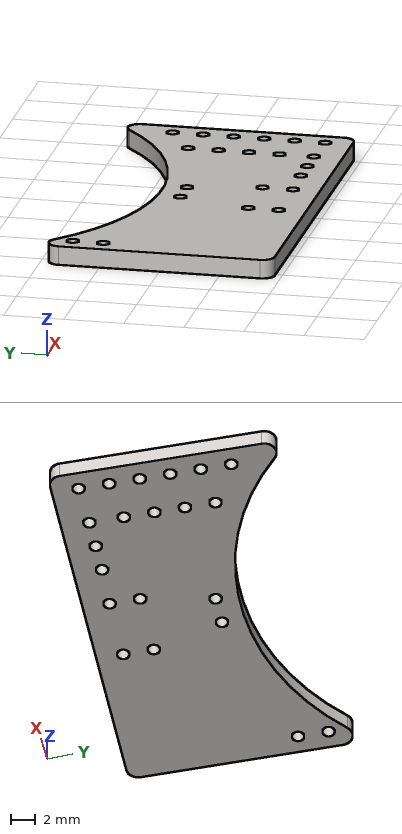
import cadquery as cq
import math

length = 32.53
width = 18.8
thickness = 1.6
corner_radius = 1.0

arc_low_y = 12.65
mid_x = length / 2
tip_center_y = width - corner_radius
arc_drop = width - arc_low_y
tip_offset = mid_x - corner_radius
center_distance = (tip_offset**2 + arc_drop**2) / (2 * arc_drop)
arc_radius = center_distance - corner_radius
arc_center_y = arc_low_y + arc_radius

hole_diameter = 1.0
pitch = 2.55
header_y = 2.25
edge_inset = 1.63
inner_column_x = 27.2
inner_column_y = 5.25
bottom_row_y = 2.37
upper_left_y = 14.4
center_pair_x = 14.7
center_pair_y = 10.8
pair_left_x = 13.0
pair_right_x = 18.48
hole_rows = [
    (edge_inset, upper_left_y, 2, 0, pitch),
    (length - edge_inset, header_y, 6, 0, pitch),
    (inner_column_x, inner_column_y, 4, 0, pitch),
    (inner_column_x - 2 * pitch, bottom_row_y, 3, pitch, 0),
    (pair_left_x, header_y, 2, 0, pitch),
    (pair_right_x, header_y, 2, 0, pitch),
    (center_pair_x, center_pair_y, 2, pitch, 0),
]


def make_plate():
    """Rounded plate with two rounded tips either side of the concave edge."""
    bevel = corner_radius * (1 - math.sqrt(0.5))
    share = corner_radius / center_distance
    tangent_x = corner_radius + tip_offset * share
    tangent_y = tip_center_y + (arc_center_y - tip_center_y) * share
    return (
        cq.Workplane("XY")
        .moveTo(corner_radius, 0)
        .lineTo(length - corner_radius, 0)
        .threePointArc((length - bevel, bevel), (length, corner_radius))
        .lineTo(length, tip_center_y)
        .threePointArc((length - corner_radius, width), (length - tangent_x, tangent_y))
        .threePointArc((mid_x, arc_low_y), (tangent_x, tangent_y))
        .threePointArc((corner_radius, width), (0, tip_center_y))
        .lineTo(0, corner_radius)
        .threePointArc((bevel, bevel), (corner_radius, 0))
        .close()
        .extrude(thickness)
    )


def hole_centers():
    """Centres of every pin hole."""
    return [
        (x + i * step_x, y + i * step_y)
        for x, y, count, step_x, step_y in hole_rows
        for i in range(count)
    ]


pin_holes = (
    cq.Workplane("XY")
    .pushPoints(hole_centers())
    .circle(hole_diameter / 2)
    .extrude(thickness)
)
result = make_plate().cut(pin_holes)